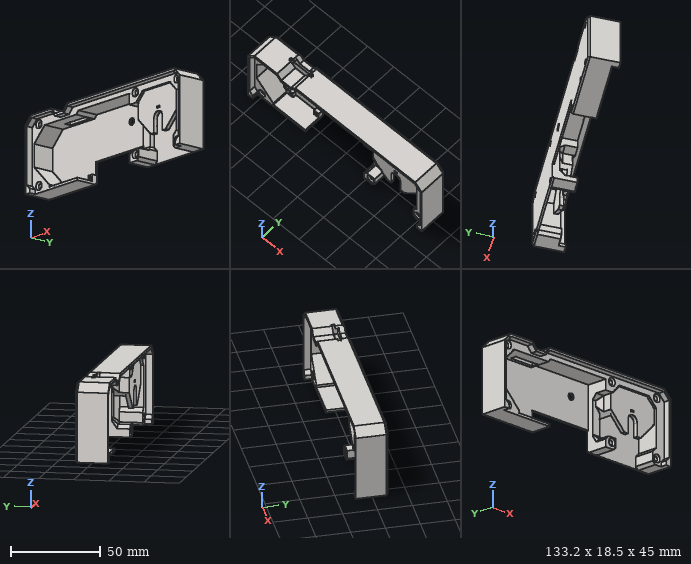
import cadquery as cq
import math

LENGTH = 133.2
DEPTH = 18.5
HEIGHT = 45.0
CORNER = 5.0
BACK_CHAMFER = 1.0

LID_DEPTH = 4.0
PANEL_FRONT = 5.5
PANEL_THICKNESS = 2.4
TAPER_START = 11.2
RIB_DEPTH = 14.3
FLOOR_DEPTH = 17.5
TAPER = RIB_DEPTH - TAPER_START

SIDE_RIM = 1.3
TOP_RIM = 1.6
FOOT_WIDTH = 3.7
FOOT_HEIGHT = 2.7
SEAT_CORNER = 4.1

NOTCH_X = 29.3
NOTCH_TOP_WIDTH = 13.9
NOTCH_FLOOR_WIDTH = 7.3
NOTCH_DEPTH = 3.5
SLOT_WIDTH = 17.0
SLOT_START = 11.5
SLOT_END = 13.2
COLLAR_SLOT_TOP = 43.8
COLLAR_SLOT_END = 15.2

CUTOUT_LEFT = 40.2
RIB_LEFT = 85.1
CUTOUT_HEIGHT = 13.2

LEFT_POCKET_X = 2.9
LEFT_POCKET_TOP = 38.5
LEFT_POCKET_HIGH_TOP = 40.5
LEFT_POCKET_STEP_X = 39.2
LEFT_POCKET_UPPER_BEVEL = 9.0
LEFT_POCKET_LOWER_BEVEL = 12.8
LEFT_POCKET_LOWER_Z = 3.0
BOTTOM_WALL = 1.6

BAY_X = 108.2
BAY_HALF = 17.3
BAY_TOP = 39.7
BAY_BEVEL = 5.7
BAY_LEFT = BAY_X - BAY_HALF
BAY_RIGHT = BAY_X + BAY_HALF
BAY_SHOULDER = BAY_TOP - BAY_BEVEL
BOSS_HALF = 14.8
BOSS_SHOULDER = 7.6
BOSS_BEVEL = 1.9
BOSS_TOP = 7.0
BOSS_CORNER = 2.3
BOSS_RIGHT = BAY_X - BOSS_HALF
BOSS_SHOULDER_RISE = BAY_HALF - BOSS_HALF

PANEL_SHOULDER = 24.4
PANEL_BOTTOM = 13.6
ARCH_WIDTH = 7.2
ARCH_TOP = 25.6
BRACE_WIDTH = 2.4
SLIT_WIDTH = 2.0
SLIT_HEIGHT = 0.9
SLIT_Z = 28.0

BAY_SCREW_OFFSET = 18.0
SCREW_COLUMNS = (6.9, BAY_X - BAY_SCREW_OFFSET, BAY_X + BAY_SCREW_OFFSET)
SCREW_ROWS = (4.1, 40.1)
SCREW_DIAMETER = 2.8
SINK_DIAMETER = 4.9
CABLE_HOLE_DIAMETER = 4.0
CABLE_HOLE_X = 71.3
CABLE_HOLE_Z = 29.8

STANDOFF_TOP = 5.6
STANDOFF_FRONT = 15.0
STANDOFF_SPANS = ((12.0, 20.4), (36.5, CUTOUT_LEFT))
STANDOFF_HOLE_X = (18.4, 38.4)
STANDOFF_HOLE_Z = 3.6
STANDOFF_HOLE_DIAMETER = 1.7


def front_prism(points, y_start, y_end):
    """Prism whose outline is given as (x, z) points, running from y_start to y_end."""
    plane = cq.Workplane("XZ", origin=(0, y_start, 0))
    return plane.polyline(points).close().extrude(y_start - y_end)


def block(x_start, x_end, y_start, y_end, z_start, z_end):
    size = (x_end - x_start, y_end - y_start, z_end - z_start)
    return cq.Workplane("XY").box(*size, centered=False).translate((x_start, y_start, z_start))


def round_hole(x, z, diameter):
    """Cylinder along Y through the full depth."""
    return cq.Workplane("XZ").center(x, z).circle(diameter / 2).extrude(-DEPTH)


def notch_points(drop):
    """Notch outline from left to right, lowered by the given drop."""
    half_top = NOTCH_TOP_WIDTH / 2
    half_floor = NOTCH_FLOOR_WIDTH / 2
    top = HEIGHT - drop
    return [
        (NOTCH_X - half_top, top),
        (NOTCH_X - half_floor, top - NOTCH_DEPTH),
        (NOTCH_X + half_floor, top - NOTCH_DEPTH),
        (NOTCH_X + half_top, top),
    ]


def shell_blank():
    outline = [
        (0, 0),
        (0, HEIGHT - CORNER),
        (CORNER, HEIGHT),
        (LENGTH - CORNER, HEIGHT),
        (LENGTH, HEIGHT - CORNER),
        (LENGTH, 0),
    ]
    blank = front_prism(outline, 0, DEPTH).faces(">Y").edges().chamfer(BACK_CHAMFER)
    blank = blank.cut(front_prism(notch_points(0), 0, DEPTH))
    return blank.cut(block(CUTOUT_LEFT, RIB_LEFT, 0, DEPTH, 0, CUTOUT_HEIGHT))


def lid_seat():
    foot_rise = FOOT_WIDTH - SIDE_RIM
    left = SIDE_RIM
    right = LENGTH - SIDE_RIM
    top = HEIGHT - TOP_RIM
    outline = [
        (FOOT_WIDTH, 0),
        (FOOT_WIDTH, FOOT_HEIGHT),
        (left, FOOT_HEIGHT + foot_rise),
        (left, top - SEAT_CORNER),
        (left + SEAT_CORNER, top),
        *notch_points(TOP_RIM),
        (right - SEAT_CORNER, top),
        (right, top - SEAT_CORNER),
        (right, FOOT_HEIGHT + foot_rise),
        (LENGTH - FOOT_WIDTH, FOOT_HEIGHT),
        (LENGTH - FOOT_WIDTH, 0),
    ]
    return front_prism(outline, 0, LID_DEPTH)


def left_pocket():
    left = LEFT_POCKET_X
    foot_x = left + LEFT_POCKET_LOWER_BEVEL
    step = LEFT_POCKET_HIGH_TOP - LEFT_POCKET_TOP
    outline = [
        (foot_x, BOTTOM_WALL),
        (foot_x, LEFT_POCKET_LOWER_Z),
        (left, LEFT_POCKET_LOWER_Z + LEFT_POCKET_LOWER_BEVEL),
        (left, LEFT_POCKET_TOP - LEFT_POCKET_UPPER_BEVEL),
        (left + LEFT_POCKET_UPPER_BEVEL, LEFT_POCKET_TOP),
        (LEFT_POCKET_STEP_X, LEFT_POCKET_TOP),
        (LEFT_POCKET_STEP_X + step, LEFT_POCKET_HIGH_TOP),
        (RIB_LEFT, LEFT_POCKET_HIGH_TOP),
        (RIB_LEFT, BOTTOM_WALL),
    ]
    return front_prism(outline, 0, FLOOR_DEPTH)


def bay_half_outline(side):
    """One side of the right pocket from bottom to top; side is -1 for left, 1 for right."""
    offsets = [
        (BOSS_HALF + BOSS_BEVEL, 0),
        (BOSS_HALF, BOSS_BEVEL),
        (BOSS_HALF, BOSS_SHOULDER),
        (BAY_HALF, BOSS_SHOULDER + BOSS_SHOULDER_RISE),
        (BAY_HALF, BAY_SHOULDER),
        (BAY_HALF - BAY_BEVEL, BAY_TOP),
    ]
    return [(BAY_X + side * x, z) for x, z in offsets]


def right_pocket():
    outline = bay_half_outline(-1) + bay_half_outline(1)[::-1]
    return front_prism(outline, 0, FLOOR_DEPTH)


def rib_relief():
    return block(RIB_LEFT, BOSS_RIGHT, 0, RIB_DEPTH, 0, BAY_SHOULDER)


def panel():
    run = PANEL_SHOULDER - PANEL_BOTTOM
    outline = [
        (BAY_LEFT, PANEL_SHOULDER),
        (BAY_LEFT + run, PANEL_BOTTOM),
        (BAY_RIGHT - run, PANEL_BOTTOM),
        (BAY_RIGHT, PANEL_SHOULDER),
        (BAY_RIGHT, BAY_SHOULDER),
        (BAY_RIGHT - BAY_BEVEL, BAY_TOP),
        (BAY_LEFT + BAY_BEVEL, BAY_TOP),
        (BAY_LEFT, BAY_SHOULDER),
    ]
    back = PANEL_FRONT + PANEL_THICKNESS
    radius = ARCH_WIDTH / 2
    spring = ARCH_TOP - radius
    arch = (
        cq.Workplane("XZ")
        .moveTo(BAY_X - radius, PANEL_BOTTOM)
        .lineTo(BAY_X - radius, spring)
        .threePointArc((BAY_X, ARCH_TOP), (BAY_X + radius, spring))
        .lineTo(BAY_X + radius, PANEL_BOTTOM)
        .close()
        .extrude(-DEPTH)
    )
    slit = block(BAY_X - SLIT_WIDTH / 2, BAY_X + SLIT_WIDTH / 2, 0, DEPTH,
                 SLIT_Z - SLIT_HEIGHT / 2, SLIT_Z + SLIT_HEIGHT / 2)
    return front_prism(outline, PANEL_FRONT, back).cut(arch).cut(slit)


def panel_brace():
    """Wall behind the left end of the panel, widening at 45 degrees onto the rib."""
    plan = [
        (BAY_LEFT, PANEL_FRONT),
        (BAY_LEFT, TAPER_START),
        (BAY_LEFT - TAPER, RIB_DEPTH),
        (BAY_LEFT - TAPER, FLOOR_DEPTH),
        (BAY_LEFT + BRACE_WIDTH, FLOOR_DEPTH),
        (BAY_LEFT + BRACE_WIDTH, PANEL_FRONT),
    ]
    wall = cq.Workplane("XY").polyline(plan).close().extrude(HEIGHT)
    left = BAY_LEFT - TAPER
    right = BAY_LEFT + BRACE_WIDTH
    limit = [
        (left, PANEL_SHOULDER + TAPER),
        (right, PANEL_SHOULDER - BRACE_WIDTH),
        (right, BAY_SHOULDER + BRACE_WIDTH),
        (BAY_LEFT, BAY_SHOULDER),
        (left, BAY_SHOULDER),
    ]
    return wall.intersect(front_prism(limit, 0, DEPTH))


def upper_boss_taper():
    """Wedge under the upper middle boss, leading onto the rib."""
    side = [
        (TAPER_START, BAY_SHOULDER),
        (RIB_DEPTH, BAY_SHOULDER - TAPER),
        (RIB_DEPTH, BAY_SHOULDER),
    ]
    plane = cq.Workplane("YZ", origin=(RIB_LEFT, 0, 0))
    return plane.polyline(side).close().extrude(BAY_LEFT - RIB_LEFT)


def boss_section(growth):
    """Square-footed section of the lower boss, its upper sides moved outward by growth."""
    corner_rise = growth * math.sqrt(2)
    corner = BOSS_CORNER + growth - corner_rise
    top = BOSS_TOP + growth
    return [
        (RIB_LEFT, 0),
        (BOSS_RIGHT, 0),
        (BOSS_RIGHT, top),
        (RIB_LEFT + corner, top),
        (RIB_LEFT, top - corner),
    ]


def lower_boss():
    """Lower middle boss, straight at the front and widening at 45 degrees onto the rib."""
    outline = [
        (RIB_LEFT, 0),
        (BOSS_RIGHT - BOSS_BEVEL, 0),
        (BOSS_RIGHT, BOSS_BEVEL),
        (BOSS_RIGHT, BOSS_TOP),
        (RIB_LEFT + BOSS_CORNER, BOSS_TOP),
        (RIB_LEFT, BOSS_TOP - BOSS_CORNER),
    ]
    straight = front_prism(outline, LID_DEPTH, FLOOR_DEPTH)
    flare = (
        cq.Workplane("XZ", origin=(0, TAPER_START, 0))
        .polyline(boss_section(0))
        .close()
        .workplane(offset=-TAPER)
        .polyline(boss_section(TAPER))
        .close()
        .loft(ruled=True)
    )
    limit = [
        (RIB_LEFT, 0),
        *bay_half_outline(-1)[:4],
        (BAY_LEFT, BAY_SHOULDER),
        (RIB_LEFT, BAY_SHOULDER),
    ]
    return straight.union(flare.intersect(front_prism(limit, 0, DEPTH)))


def standoff(left, right):
    return block(left, right, STANDOFF_FRONT, FLOOR_DEPTH, BOTTOM_WALL, STANDOFF_TOP)


def notch_slots():
    """Slot across the notch, undercut towards the back below a narrow ledge."""
    left = NOTCH_X - SLOT_WIDTH / 2
    right = NOTCH_X + SLOT_WIDTH / 2
    flange = block(left, right, SLOT_START, SLOT_END, LEFT_POCKET_TOP, HEIGHT)
    collar = block(left, right, SLOT_END, COLLAR_SLOT_END, LEFT_POCKET_TOP, COLLAR_SLOT_TOP)
    return flange.union(collar)


def screw_hole(x, z):
    sink_depth = (SINK_DIAMETER - SCREW_DIAMETER) / 2
    sink = cq.Solid.makeCone(SINK_DIAMETER / 2, SCREW_DIAMETER / 2, sink_depth,
                             cq.Vector(x, LID_DEPTH, z), cq.Vector(0, 1, 0))
    return round_hole(x, z, SCREW_DIAMETER).union(cq.Workplane(sink))


body = shell_blank()
for pocket in (lid_seat(), left_pocket(), right_pocket(), rib_relief()):
    body = body.cut(pocket)
for addition in (panel(), panel_brace(), upper_boss_taper(), lower_boss()):
    body = body.union(addition)
for left, right in STANDOFF_SPANS:
    body = body.union(standoff(left, right))
body = body.cut(notch_slots())
for x in SCREW_COLUMNS:
    for z in SCREW_ROWS:
        body = body.cut(screw_hole(x, z))
for x in STANDOFF_HOLE_X:
    body = body.cut(round_hole(x, STANDOFF_HOLE_Z, STANDOFF_HOLE_DIAMETER))
result = body.cut(round_hole(CABLE_HOLE_X, CABLE_HOLE_Z, CABLE_HOLE_DIAMETER))